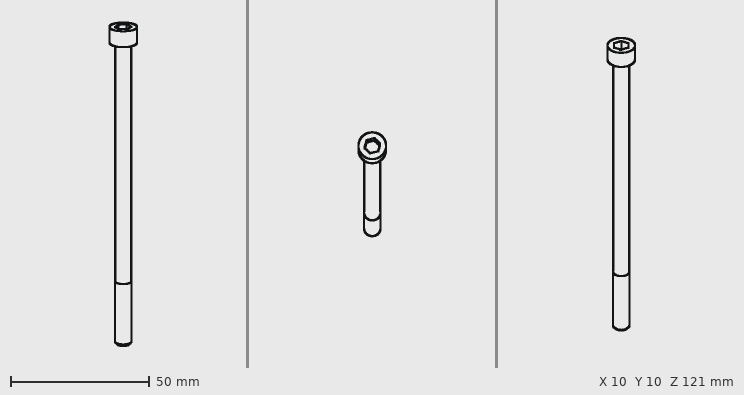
import cadquery as cq
import math

total_length = 121.0
head_diameter = 10.0
head_height = 6.0
thread_diameter = 6.0
shank_diameter = 5.9
thread_length = 24.0
tip_chamfer_height = 1.0
tip_chamfer_width = 1.0
socket_across_flats = 5.1
socket_depth = 3.6

shank_length = total_length - head_height
socket_across_corners = socket_across_flats / math.cos(math.pi / 6)


def make_head():
    return cq.Workplane("XY").workplane(offset=shank_length).circle(head_diameter / 2).extrude(head_height)


def make_shank():
    """Plain shank stepping out slightly to the threaded end, with a chamfered tip."""
    thread_radius = thread_diameter / 2
    shank_radius = shank_diameter / 2
    profile = [
        (0, 0),
        (thread_radius - tip_chamfer_width, 0),
        (thread_radius, tip_chamfer_height),
        (thread_radius, thread_length),
        (shank_radius, thread_length),
        (shank_radius, shank_length),
        (0, shank_length),
    ]
    return cq.Workplane("XZ").polyline(profile).close().revolve(360, (0, 0), (0, 1))


def make_socket():
    """Hexagonal drive recess with two corners on the X axis."""
    return (
        cq.Workplane("XY")
        .workplane(offset=total_length - socket_depth)
        .polygon(6, socket_across_corners)
        .extrude(socket_depth)
    )


result = make_head().union(make_shank()).cut(make_socket())